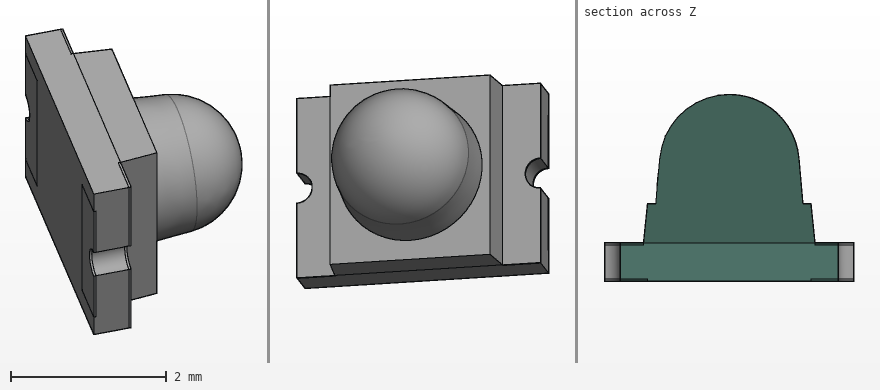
import cadquery as cq
import math


board_length = 3.2
board_width = 2.4
board_thickness = 0.5
notch_diameter = 0.4

pad_thickness = 0.03
solder_pad_length = 0.55
solder_pad_width = 1.8

base_bottom_length = 2.2
base_top_length = 2.1
base_height = 0.5
overall_height = 2.4
dome_diameter = 1.8
skirt_draft = math.radians(5.0)

top_pad_length = (board_length - base_bottom_length) / 2
base_top = board_thickness + base_height
dome_radius = dome_diameter / 2
dome_center = overall_height - dome_radius

END_SIGNS = (-1, 1)


def block(length, height, width, center_x, bottom_y):
    """Block centred on Z = 0, standing on the plane Y = bottom_y."""
    return cq.Workplane("XY").box(length, height, width).translate(
        (center_x, bottom_y + height / 2, 0)
    )


def end_notches():
    """Cylinders along Y that cut the half-round notch at both board ends."""
    ends = [(sign * board_length / 2, 0) for sign in END_SIGNS]
    return cq.Workplane("XZ").pushPoints(ends).circle(notch_diameter / 2).extrude(-board_thickness)


def make_solder_pad(sign):
    """Pad on the solder face at one board end, cut by the notch."""
    center_x = sign * (board_length - solder_pad_length) / 2
    pad = block(solder_pad_length, pad_thickness, solder_pad_width, center_x, 0)
    return pad.cut(end_notches())


def make_top_pad(sign):
    """Full-width pad on the lens face, between the lens base and one board end."""
    center_x = sign * (board_length - top_pad_length) / 2
    bottom_y = board_thickness - pad_thickness
    pad = block(top_pad_length, pad_thickness, board_width, center_x, bottom_y)
    return pad.cut(end_notches())


def make_board(pads):
    """Board with end notches and a recess for every pad."""
    board = block(board_length, board_thickness, board_width, 0, 0).cut(end_notches())
    for pad in pads:
        board = board.cut(pad)
    return board


def make_lens_base():
    """Base as wide as the board, with both ends sloping inwards."""
    return (
        cq.Workplane("XY")
        .polyline(
            [
                (-base_bottom_length / 2, board_thickness),
                (base_bottom_length / 2, board_thickness),
                (base_top_length / 2, base_top),
                (-base_top_length / 2, base_top),
            ]
        )
        .close()
        .extrude(board_width / 2, both=True)
    )


def make_dome():
    """Spherical dome that runs tangent into a conical skirt standing on the lens base."""
    tangent_radius = dome_radius * math.cos(skirt_draft)
    tangent_y = dome_center + dome_radius * math.sin(skirt_draft)
    skirt_radius = tangent_radius + (tangent_y - base_top) * math.tan(skirt_draft)

    middle_angle = (skirt_draft + math.pi / 2) / 2
    arc_middle = (
        dome_radius * math.cos(middle_angle),
        dome_center + dome_radius * math.sin(middle_angle),
    )
    return (
        cq.Workplane("XY")
        .moveTo(0, base_top)
        .lineTo(skirt_radius, base_top)
        .lineTo(tangent_radius, tangent_y)
        .threePointArc(arc_middle, (0, overall_height))
        .close()
        .revolve(360, (0, 0, 0), (0, 1, 0))
    )


def make_lens():
    """Lens base and dome, moulded as one body."""
    return make_lens_base().union(make_dome())


solder_pads = [make_solder_pad(sign) for sign in END_SIGNS]
top_pads = [make_top_pad(sign) for sign in END_SIGNS]
pads = solder_pads + top_pads
board = make_board(pads)
lens = make_lens()

bodies = [board, lens] + pads

result = cq.Compound.makeCompound([body.solids().val() for body in bodies])